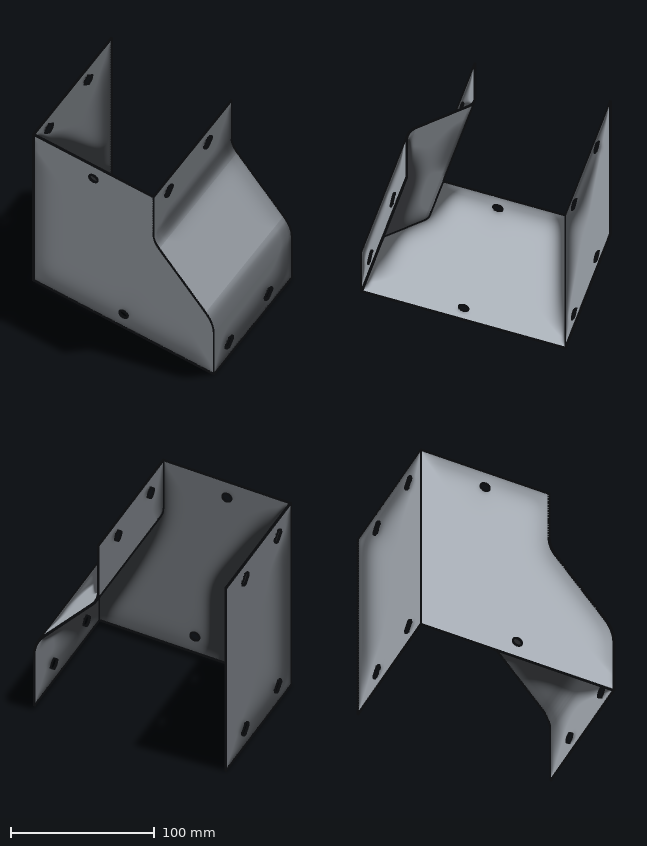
import cadquery as cq
import math

base_width = 150.0
top_width = 100.0
depth = 100.0
height = 170.0
sheet = 0.8

lower_bend_z = 58.7
transition_height = 60.0
upper_bend_z = lower_bend_z + transition_height
upper_bend_radius = 20.0
lower_bend_radius = 30.0

hole_diameter = 7.0
slot_width = 7.0
slot_diameter = 10.0
slot_angle = 45.0
edge_distance = 15.0
slot_positions = (20.0, 70.0)
hole_heights = (edge_distance, height - edge_distance)


def bend_points(corner, before, after, radius):
    """Start, middle and end of the arc that rounds a corner between two straight runs."""
    vertex = cq.Vector(*corner)
    to_before = (cq.Vector(*before) - vertex).normalized()
    to_after = (cq.Vector(*after) - vertex).normalized()
    half_angle = to_before.getAngle(to_after) / 2
    tangent_length = radius / math.tan(half_angle)
    bisector = (to_before + to_after).normalized()
    middle_distance = radius / math.sin(half_angle) - radius
    return [
        (point.x, point.y)
        for point in (
            vertex + to_before * tangent_length,
            vertex + bisector * middle_distance,
            vertex + to_after * tangent_length,
        )
    ]


def make_block():
    """Solid block with the stepped side profile, standing on the XY plane."""
    base_corner = (base_width, 0)
    lower_corner = (base_width, lower_bend_z)
    upper_corner = (top_width, upper_bend_z)
    top_corner = (top_width, height)
    lower_bend = bend_points(lower_corner, base_corner, upper_corner, lower_bend_radius)
    upper_bend = bend_points(upper_corner, lower_corner, top_corner, upper_bend_radius)
    return (
        cq.Workplane("XZ")
        .moveTo(0, 0)
        .lineTo(*base_corner)
        .lineTo(*lower_bend[0])
        .threePointArc(*lower_bend[1:])
        .lineTo(*upper_bend[0])
        .threePointArc(*upper_bend[1:])
        .lineTo(*top_corner)
        .lineTo(0, height)
        .close()
        .extrude(-depth)
    )


def make_channel():
    """Front plate and two side walls; the back, top and bottom are open."""
    return make_block().faces(">Y or >Z or <Z").shell(-sheet)


def plate_hole(x, z):
    """Round cutter through the front plate."""
    return cq.Workplane("XZ", origin=(x, 0, z)).circle(hole_diameter / 2).extrude(-2 * sheet)


def wall_slot(wall_x, y, z, flat_angle):
    """Cutter through a side wall: a circle trimmed by two parallel flats."""
    cutter_length = 2 * sheet
    round_part = cq.Workplane("YZ").circle(slot_diameter / 2).extrude(cutter_length / 2, both=True)
    flat_part = cq.Workplane("XY").box(cutter_length, slot_diameter, slot_width)
    slot = round_part.intersect(flat_part)
    return slot.rotate((0, 0, 0), (1, 0, 0), flat_angle).translate((wall_x, y, z))


result = make_channel()

for z, width in zip(hole_heights, (base_width, top_width)):
    result = result.cut(plate_hole(width / 2, z))
    for y in slot_positions:
        result = result.cut(wall_slot(sheet / 2, y, z, -slot_angle))
        result = result.cut(wall_slot(width - sheet / 2, y, z, slot_angle))